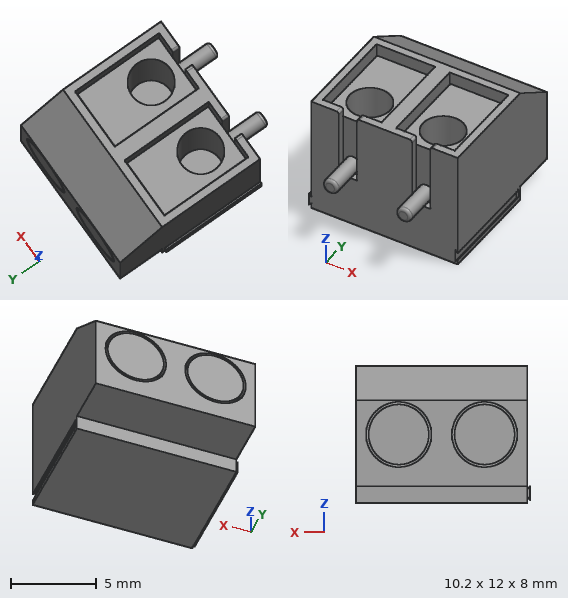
import cadquery as cq


overall_depth = 12.0

width = 10.0
depth = 10.0
height = 8.0
foot_depth = 7.0
step_height = 1.0
slope_drop = 2.0
wall = 0.49

pole_pitch = width / 2
pole_positions = [-pole_pitch / 2, pole_pitch / 2]
axis_z = height / 2

pocket_width = 4.0
pocket_depth = 6.0
pocket_floor = wall
clearance = 0.1
clamp_recess = 0.75
clamp_width = pocket_width - 2 * clearance
clamp_depth = pocket_depth - 2 * clearance
clamp_front = wall + clearance
clamp_back = clamp_front + clamp_depth
clamp_height = height - clamp_recess - pocket_floor
wire_hole_diameter = 2.75
wire_hole_y = 2.47

pin_diameter = 1.0
pin_reach = overall_depth - depth
pin_tip_radius = 0.2
slot_width = 1.24
slot_mouth_radius = 0.17
slot_bottom = axis_z - slot_width / 2

screw_diameter = 3.5
screw_hole_diameter = 3.8

rail_reach = 0.15
rail_length = 6.8
rail_bottom = 0.18
rail_top = step_height


def box(x_center, y_start, z_start, size_x, size_y, size_z):
    """Box centred on x_center that extends in +Y and +Z from its start values."""
    return (
        cq.Workplane("XY")
        .box(size_x, size_y, size_z, centered=(True, False, False))
        .translate((x_center, y_start, z_start))
    )


def rod(x_center, y_start, diameter, length):
    """Cylinder along +Y at the height of the terminal axis."""
    return (
        cq.Workplane("XZ", origin=(x_center, y_start, axis_z))
        .circle(diameter / 2)
        .extrude(-length)
    )


def make_shell():
    """Solid housing outline: stepped underside and a sloped top at the back."""
    return (
        cq.Workplane("YZ", origin=(-width / 2, 0, 0))
        .polyline([
            (0, 0),
            (foot_depth, 0),
            (foot_depth, step_height),
            (depth, step_height),
            (depth, height - slope_drop),
            (foot_depth, height),
            (0, height),
        ])
        .close()
        .extrude(width)
    )


def make_dovetail(root_x):
    """Dovetail bar reaching in -X from root_x, with 45 degree flanks and a narrow root."""
    tip_x = root_x - rail_reach
    return (
        cq.Workplane("XZ")
        .polyline([
            (root_x, rail_bottom + rail_reach),
            (tip_x, rail_bottom),
            (tip_x, rail_top),
            (root_x, rail_top - rail_reach),
        ])
        .close()
        .extrude(-rail_length)
    )


def make_slot(x_center):
    """Pin slot through the front wall, open at the top with a rounded mouth."""
    half = slot_width / 2
    half_mouth = half + slot_mouth_radius
    shoulder = height - slot_mouth_radius
    return (
        cq.Workplane("XZ", origin=(x_center, 0, 0))
        .moveTo(-half, slot_bottom)
        .lineTo(half, slot_bottom)
        .lineTo(half, shoulder)
        .radiusArc((half_mouth, height), slot_mouth_radius)
        .lineTo(-half_mouth, height)
        .radiusArc((-half, shoulder), slot_mouth_radius)
        .close()
        .extrude(-wall)
    )


def make_housing():
    """Housing with a pocket, a pin slot and a screw access hole for each pole."""
    housing = make_shell()
    housing = housing.union(make_dovetail(-width / 2))
    housing = housing.cut(make_dovetail(width / 2))
    pocket_back = wall + pocket_depth
    for x in pole_positions:
        housing = housing.cut(
            box(x, wall, pocket_floor, pocket_width, pocket_depth, height - pocket_floor)
        )
        housing = housing.cut(make_slot(x))
        housing = housing.cut(rod(x, pocket_back, screw_hole_diameter, depth - pocket_back))
    return housing


def make_clamp(x_center):
    """Clamp block standing on the pocket floor, with a vertical wire hole through it."""
    block = box(x_center, clamp_front, pocket_floor, clamp_width, clamp_depth, clamp_height)
    wire_hole = (
        cq.Workplane("XY", origin=(x_center, wire_hole_y, pocket_floor))
        .circle(wire_hole_diameter / 2)
        .extrude(clamp_height)
    )
    return block.cut(wire_hole)


def make_pin(x_center):
    """Round-tipped pin from the front of the clamp out through the slot."""
    pin = rod(x_center, -pin_reach, pin_diameter, pin_reach + clamp_front)
    return pin.faces("<Y").edges().fillet(pin_tip_radius)


def make_screw(x_center):
    """Plain screw head from the back of the clamp to the back face of the housing."""
    return rod(x_center, clamp_back, screw_diameter, depth - clamp_back)


housing = make_housing()
clamps = [make_clamp(x) for x in pole_positions]
pins = [make_pin(x) for x in pole_positions]
screws = [make_screw(x) for x in pole_positions]

result = cq.Compound.makeCompound(
    [body.val() for body in [housing, *clamps, *pins, *screws]]
)